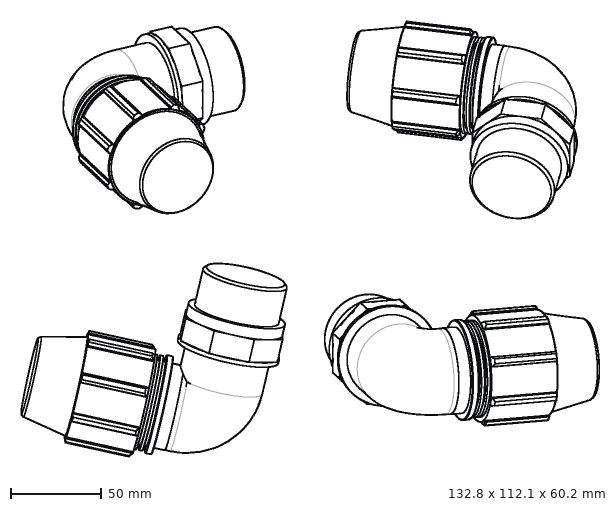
import cadquery as cq
import math


pipe_diameter = 47.8
pipe_radius = pipe_diameter / 2
bend_radius = 19.1

male_length = 82.0
male_chamfer = 1.6
flange_diameter = 57.3
flange_start = 37.8
flange_width = 2.5
octagon_across_flats = 54.9
octagon_width = 13.1
octagon_sides = 8
band_width = 6.4

socket_diameter = 48.0
socket_start = 22.0
collar_diameter = 55.7
collar_start = 28.8
collar_width = 3.7
collar_chamfer = 0.4
ring_diameter = 54.0
ring_starts = (34.2, 37.7)
ring_width = 1.7

nut_start = 39.3
nut_length = 38.5
nut_end = nut_start + nut_length
nut_diameter = 59.3
nut_chamfer = 0.4
taper_length = 24.8
taper_end = nut_end + taper_length
taper_start_diameter = 56.1
taper_end_diameter = 45.6
tip_length = 1.5
tip_diameter = 43.5
nut_tip = taper_end + tip_length

rib_count = 8
rib_tip_radius = 32.0
rib_tip_width = 2.8
rib_base_width = 5.5
rib_shoulder_radius = 30.4
rib_front_ramp = 1.9
rib_back_ramp = 0.8
rib_root_radius = nut_diameter / 2 - 0.3


def disc_x(diameter, start, length):
    return cq.Workplane("YZ").workplane(offset=start).circle(diameter / 2).extrude(length)


def disc_y(diameter, start, length):
    return cq.Workplane("XZ").workplane(offset=-start).circle(diameter / 2).extrude(-length)


def bend():
    """Quarter turn of the pipe section, cut off at the turning axis on its inner side."""
    half_chord = math.sqrt(pipe_radius**2 - bend_radius**2)
    section = (
        cq.Workplane("XZ", origin=(0, bend_radius, 0))
        .moveTo(bend_radius, half_chord)
        .threePointArc((-pipe_radius, 0), (bend_radius, -half_chord))
        .close()
    )
    return section.revolve(90, (bend_radius, 0), (bend_radius, 1))


def male_end():
    octagon_start = flange_start + flange_width
    band_start = octagon_start + octagon_width
    pipe = disc_y(pipe_diameter, bend_radius, male_length - bend_radius)
    pipe = pipe.faces(">Y").chamfer(male_chamfer)
    flange = disc_y(flange_diameter, flange_start, flange_width)
    octagon = (
        cq.Workplane("XZ", origin=(0, octagon_start, 0))
        .polygon(octagon_sides, octagon_across_flats, circumscribed=True)
        .extrude(-octagon_width)
    )
    band = disc_y(octagon_across_flats, band_start, band_width)
    return pipe.union(flange).union(octagon).union(band)


def socket():
    body = disc_x(pipe_diameter, bend_radius, socket_start - bend_radius)
    body = body.union(disc_x(socket_diameter, socket_start, nut_end - socket_start))
    collar = disc_x(collar_diameter, collar_start, collar_width).edges().chamfer(collar_chamfer)
    body = body.union(collar)
    for start in ring_starts:
        body = body.union(disc_x(ring_diameter, start, ring_width))
    return body


def nut_body():
    return (
        cq.Workplane("XY")
        .moveTo(nut_start, 0)
        .lineTo(nut_start, nut_diameter / 2)
        .lineTo(nut_end - nut_chamfer, nut_diameter / 2)
        .lineTo(nut_end, nut_diameter / 2 - nut_chamfer)
        .lineTo(nut_end, taper_start_diameter / 2)
        .lineTo(taper_end, taper_end_diameter / 2)
        .lineTo(nut_tip, tip_diameter / 2)
        .lineTo(nut_tip, 0)
        .close()
        .revolve(360, (0, 0), (1, 0))
    )


def rib():
    """One rib on the +Z side: bevelled flanks, and a ramp at each end."""
    flanks = (
        cq.Workplane("YZ", origin=(nut_start, 0, 0))
        .polyline([
            (-rib_base_width / 2, rib_root_radius),
            (rib_base_width / 2, rib_root_radius),
            (rib_base_width / 2, rib_shoulder_radius),
            (rib_tip_width / 2, rib_tip_radius),
            (-rib_tip_width / 2, rib_tip_radius),
            (-rib_base_width / 2, rib_shoulder_radius),
        ])
        .close()
        .extrude(nut_length)
    )
    side = (
        cq.Workplane("XZ")
        .polyline([
            (nut_start, rib_root_radius),
            (nut_end, rib_root_radius),
            (nut_end - rib_back_ramp, rib_tip_radius),
            (nut_start + rib_front_ramp, rib_tip_radius),
        ])
        .close()
        .extrude(rib_base_width, both=True)
    )
    return flanks.intersect(side)


def nut():
    pitch = 360 / rib_count
    body = nut_body()
    for index in range(rib_count):
        angle = (index + 0.5) * pitch
        body = body.union(rib().rotate((0, 0, 0), (1, 0, 0), angle))
    return body


result = bend().union(male_end()).union(socket()).union(nut())